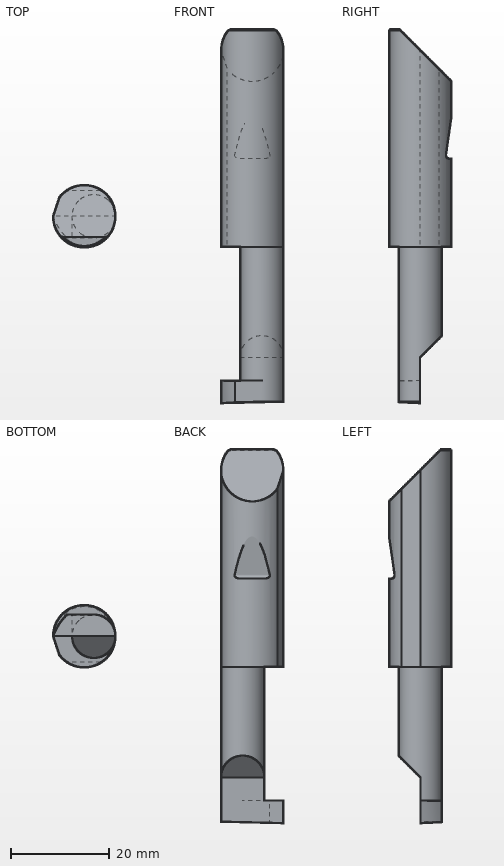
import cadquery as cq
import math

total_length = 76.2
shank_radius = 6.36
shoulder_z = 31.85
top_chamfer = 0.3

slant_start_y = -4.3

side_flat_end_y = 3.8

notch_bottom_z = 49.8
notch_top_z = 58.4
notch_depth = 1.2
notch_fillet = 0.7

neck_radius = 4.4
neck_x = shank_radius - neck_radius
rake_start_z = 9.4

tooth_height = 4.65
tooth_heel_x = -3.5
tooth_bulge = 0.3
relief_angle = 2.0
end_tilt_angle = 1.4

margin = 3.8
cut_width = 2 * (shank_radius + margin)


def side_prism(points):
    """Extrude a closed (Y, Z) outline across the full width in X."""
    return cq.Workplane("YZ").polyline(points).close().extrude(cut_width / 2, both=True)


def make_shank():
    shank = (
        cq.Workplane("XY").workplane(offset=shoulder_z)
        .circle(shank_radius).extrude(total_length - shoulder_z)
        .faces(">Z").chamfer(top_chamfer)
    )
    outer_y = shank_radius + margin
    slant = side_prism([
        (slant_start_y, total_length),
        (outer_y, total_length - (outer_y - slant_start_y)),
        (outer_y, total_length),
    ])
    return shank.cut(slant).cut(make_side_flat()).cut(make_notch())


def make_side_flat():
    flat_end_x = -math.sqrt(shank_radius**2 - side_flat_end_y**2)
    outer_x = -shank_radius - margin
    return (
        cq.Workplane("XY")
        .polyline([(-shank_radius, 0), (flat_end_x, side_flat_end_y),
                   (outer_x, side_flat_end_y), (outer_x, 0)])
        .close().extrude(total_length)
    )


def make_notch():
    floor_y = shank_radius - notch_depth
    ramp_slope = notch_depth / (notch_top_z - notch_bottom_z)
    outer_y = shank_radius + margin
    notch = side_prism([
        (floor_y, notch_bottom_z),
        (outer_y, notch_bottom_z),
        (outer_y, notch_top_z + margin / ramp_slope),
    ])
    return notch.edges("|X").edges("<Y").fillet(notch_fillet)


def make_neck():
    neck = cq.Workplane("XY").center(neck_x, 0).circle(neck_radius).extrude(shoulder_z)
    outer_y = neck_radius + margin
    rake = side_prism([
        (0, 0),
        (0, rake_start_z),
        (outer_y, rake_start_z + outer_y),
        (outer_y, 0),
    ])
    return neck.cut(rake)


def make_tooth():
    chord_x = tooth_heel_x + shank_radius
    chord = math.hypot(chord_x, neck_radius)
    bulge_point = (
        (tooth_heel_x - shank_radius) / 2 - tooth_bulge * neck_radius / chord,
        -neck_radius / 2 - tooth_bulge * chord_x / chord,
    )
    tooth = (
        cq.Workplane("XY")
        .moveTo(-shank_radius, 0)
        .threePointArc(bulge_point, (tooth_heel_x, -neck_radius))
        .lineTo(neck_x, -neck_radius)
        .lineTo(neck_x, 0)
        .close().extrude(tooth_height)
    )
    return tooth.cut(make_top_relief())


def make_top_relief():
    """Shallow wedge off the tooth top, only where the tooth overhangs the neck."""
    drop = cut_width * math.tan(math.radians(relief_angle))
    neck_left_x = neck_x - neck_radius
    return (
        cq.Workplane("YZ").workplane(offset=neck_left_x)
        .polyline([(0, tooth_height), (-cut_width, tooth_height - drop), (-cut_width, tooth_height)])
        .close().extrude(-cut_width)
    )


def make_end_relief():
    """Solid below the end face, which rises towards -Y and +X from the cutting corner."""
    relief = cq.Workplane("XY").box(2 * cut_width, 2 * cut_width, margin, centered=(True, True, False))
    return (
        relief.translate((0, 0, -margin))
        .rotate((0, 0, 0), (1, 0, 0), -relief_angle)
        .rotate((0, 0, 0), (0, 1, 0), -end_tilt_angle)
        .translate((-shank_radius, 0, 0))
    )


head = make_neck().union(make_tooth()).cut(make_end_relief())
result = make_shank().union(head)